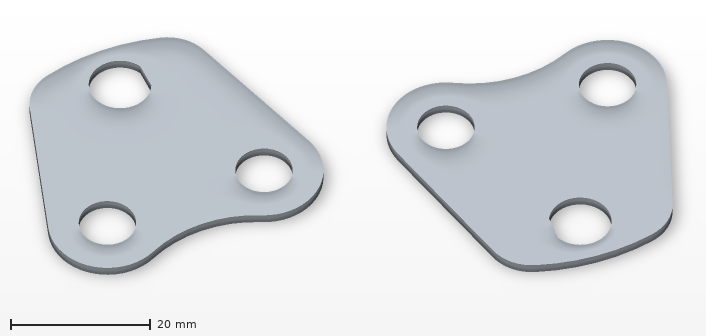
import cadquery as cq
import math

length = 38.85
width = 41.7
thickness = 1.5

lobe_radius = 8.55
lobe_hole_radius = 4.15
flatted_hole_radius = 4.5
flat_height = 4.05
left_margin = 7.0
left_edge_radius = 32.95
corner_radius = 6.92
corner_y = 7.05
waist_depth = 2.88

left_x = -left_margin
right_x = left_x + length
lobe_x = right_x - lobe_radius
lobe_y = width / 2 - lobe_radius


def polar(center, radius, angle):
    """Point on a circle at an angle in radians."""
    return (center[0] + radius * math.cos(angle), center[1] + radius * math.sin(angle))


def mirrored(point):
    """Reflect a point across the X axis."""
    return (point[0], -point[1])


left_center = (left_x + left_edge_radius, 0)
center_gap = left_edge_radius - corner_radius
corner_center = (left_center[0] - math.sqrt(center_gap**2 - corner_y**2), corner_y)
left_angle = math.pi - math.asin(corner_y / center_gap)

lobe_center = (lobe_x, lobe_y)
side_dx = lobe_x - corner_center[0]
side_dy = lobe_y - corner_y
side_slope = math.atan2(side_dy, side_dx) + math.asin(
    (lobe_radius - corner_radius) / math.hypot(side_dx, side_dy)
)
side_angle = side_slope + math.pi / 2

waist_x = right_x - waist_depth
waist_offset = waist_x - lobe_x
waist_radius = (waist_offset**2 + lobe_y**2 - lobe_radius**2) / (2 * (lobe_radius - waist_offset))
waist_angle = math.atan2(-lobe_y, waist_x + waist_radius - lobe_x)

left_end = polar(corner_center, corner_radius, left_angle)
corner_mid = polar(corner_center, corner_radius, (left_angle + side_angle) / 2)
side_start = polar(corner_center, corner_radius, side_angle)
side_end = polar(lobe_center, lobe_radius, side_angle)
lobe_mid = polar(lobe_center, lobe_radius, (side_angle + waist_angle) / 2)
waist_end = polar(lobe_center, lobe_radius, waist_angle)

plate = (
    cq.Workplane("XY")
    .moveTo(*left_end)
    .threePointArc(corner_mid, side_start)
    .lineTo(*side_end)
    .threePointArc(lobe_mid, waist_end)
    .threePointArc((waist_x, 0), mirrored(waist_end))
    .threePointArc(mirrored(lobe_mid), mirrored(side_end))
    .lineTo(*mirrored(side_start))
    .threePointArc(mirrored(corner_mid), mirrored(left_end))
    .threePointArc((left_x, 0), left_end)
    .close()
    .extrude(thickness)
)

lobe_holes = (
    cq.Workplane("XY")
    .pushPoints([lobe_center, mirrored(lobe_center)])
    .circle(lobe_hole_radius)
    .extrude(thickness)
)

flat_half_length = math.sqrt(flatted_hole_radius**2 - flat_height**2)
flatted_hole = (
    cq.Workplane("XY")
    .moveTo(-flat_half_length, flat_height)
    .threePointArc((0, -flatted_hole_radius), (flat_half_length, flat_height))
    .close()
    .extrude(thickness)
)

result = plate.cut(lobe_holes).cut(flatted_hole)